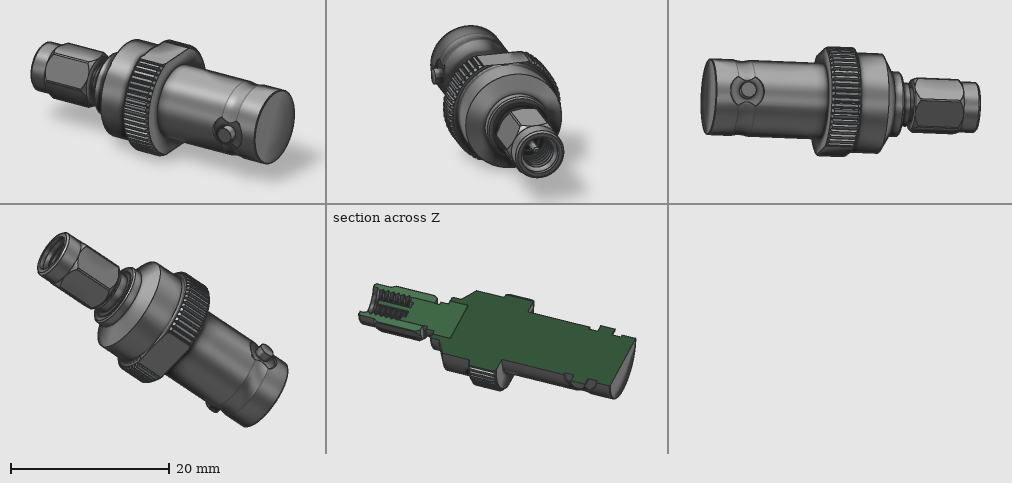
import cadquery as cq
import math

TOTAL_LENGTH = 34.54

NUT_LENGTH = 8.4
NUT_FLATS = 6.35
HEX_CORNER_RADIUS = 3.6
COLLAR_RADIUS = NUT_FLATS / 2
COLLAR_LENGTH = 2.15
HEX_CHAMFER_LENGTH = 0.55
NOSE_CHAMFER = 0.25

THREAD_CREST_RADIUS = 2.0
THREAD_ROOT_RADIUS = 2.4
THREAD_PITCH = 25.4 / 36
THREAD_FLAT = 0.04
THREAD_FLANK = THREAD_PITCH / 2 - THREAD_FLAT
THREAD_TURNS = 6
MOUTH_RADIUS = 2.45
MOUTH_DEPTH = 0.55
LEAD_IN = MOUTH_RADIUS - THREAD_CREST_RADIUS
THREAD_START = MOUTH_DEPTH + LEAD_IN + THREAD_FLAT
THREAD_DEPTH = THREAD_START + THREAD_TURNS * THREAD_PITCH

NECK_RADIUS = 2.23
SHOULDER_RADIUS = 2.73
SHOULDER_START = 9.0
SEAT_RADIUS = 3.36
SEAT_CHAMFER = 0.1
CONTACT_RECESS_RADIUS = 1.4
CONTACT_RECESS_DEPTH = 0.5
PIN_RADIUS = 0.41
PIN_TIP = 1.5
PIN_TIP_CHAMFER = 0.2

FLANGE_RADIUS = 4.1
FLANGE_START = 10.03
FLANGE_CHAMFER = 0.2
CONE_START = 11.25
CONE_ANGLE = 60
BARREL_RADIUS = 6.3
CONE_END = CONE_START + (BARREL_RADIUS - FLANGE_RADIUS) / math.tan(math.radians(CONE_ANGLE))
SEAT_END = CONE_END

KNURL_START = 16.25
KNURL_END = 20.0
KNURL_DIAMETER = 14.5
KNURL_RADIUS = KNURL_DIAMETER / 2
KNURL_FLATS = 12.7
KNURL_CHAMFER = 0.34
KNURL_TEETH = 61
TOOTH_DEPTH = 0.36
TOOTH_TIP_WIDTH = 0.36
GROOVE_ROOT_WIDTH = 0.1
ROOT_FILLET = 0.25

TUBE_RADIUS = 4.8
TUBE_END_CHAMFER = 0.1
LUG_X = 30.48
LUG_RADIUS = 0.98
LUG_SPAN = 11.1
SPOT_RADIUS = 2.17
SPOT_SPAN = 8.84
WAIST_WIDTH = 2.14
WAIST_DEPTH = 0.17


def revolve_about_x(profile):
    """Close a profile drawn in (x, radius) and turn it about the X axis."""
    return profile.close().revolve(360, (0, 0, 0), (1, 0, 0))


def cylinder_x(start, end, radius):
    return cq.Workplane("YZ", origin=(start, 0, 0)).circle(radius).extrude(end - start)


def make_thread_groove(index):
    """One V-shaped ring of the thread, cut outwards from the crest radius."""
    start = THREAD_START + index * THREAD_PITCH
    return revolve_about_x(
        cq.Workplane("XY")
        .moveTo(start, 0)
        .lineTo(start, THREAD_CREST_RADIUS)
        .lineTo(start + THREAD_FLANK, THREAD_ROOT_RADIUS)
        .lineTo(start + THREAD_FLANK + THREAD_FLAT, THREAD_ROOT_RADIUS)
        .lineTo(start + 2 * THREAD_FLANK + THREAD_FLAT, THREAD_CREST_RADIUS)
        .lineTo(start + 2 * THREAD_FLANK + THREAD_FLAT, 0)
    )


def make_nut():
    """Round collar running into a hexagon with chamfered corners, threaded inside."""
    envelope = revolve_about_x(
        cq.Workplane("XY")
        .moveTo(0, 0)
        .lineTo(0, COLLAR_RADIUS - NOSE_CHAMFER)
        .lineTo(NOSE_CHAMFER, COLLAR_RADIUS)
        .lineTo(COLLAR_LENGTH, COLLAR_RADIUS)
        .lineTo(COLLAR_LENGTH + HEX_CHAMFER_LENGTH, HEX_CORNER_RADIUS)
        .lineTo(NUT_LENGTH - HEX_CHAMFER_LENGTH, HEX_CORNER_RADIUS)
        .lineTo(NUT_LENGTH, COLLAR_RADIUS)
        .lineTo(NUT_LENGTH, 0)
    )
    hexagon = (
        cq.Workplane("YZ")
        .polygon(6, NUT_FLATS, circumscribed=True)
        .extrude(NUT_LENGTH)
        .rotate((0, 0, 0), (1, 0, 0), 30)
    )
    nut = envelope.intersect(hexagon.union(cylinder_x(0, COLLAR_LENGTH, COLLAR_RADIUS)))

    bore = revolve_about_x(
        cq.Workplane("XY")
        .moveTo(0, 0)
        .lineTo(0, MOUTH_RADIUS)
        .lineTo(MOUTH_DEPTH, MOUTH_RADIUS)
        .lineTo(MOUTH_DEPTH + LEAD_IN, THREAD_CREST_RADIUS)
        .lineTo(THREAD_DEPTH, THREAD_CREST_RADIUS)
        .lineTo(THREAD_DEPTH, NECK_RADIUS)
        .lineTo(NUT_LENGTH, NECK_RADIUS)
        .lineTo(NUT_LENGTH, 0)
    )
    nut = nut.cut(bore)
    for index in range(THREAD_TURNS):
        nut = nut.cut(make_thread_groove(index))
    return nut


def make_insert():
    """Neck, shoulder and seat, with the centre pin standing in a recess of the front face."""
    body = revolve_about_x(
        cq.Workplane("XY")
        .moveTo(THREAD_DEPTH, 0)
        .lineTo(THREAD_DEPTH, NECK_RADIUS)
        .lineTo(SHOULDER_START, NECK_RADIUS)
        .lineTo(SHOULDER_START, SHOULDER_RADIUS)
        .lineTo(FLANGE_START, SHOULDER_RADIUS)
        .lineTo(FLANGE_START, SEAT_RADIUS - SEAT_CHAMFER)
        .lineTo(FLANGE_START + SEAT_CHAMFER, SEAT_RADIUS)
        .lineTo(SEAT_END, SEAT_RADIUS)
        .lineTo(SEAT_END, 0)
    )
    recess_floor = THREAD_DEPTH + CONTACT_RECESS_DEPTH
    recess = cylinder_x(THREAD_DEPTH, recess_floor, CONTACT_RECESS_RADIUS)
    pin = cylinder_x(PIN_TIP, SEAT_END, PIN_RADIUS).faces("<X").chamfer(PIN_TIP_CHAMFER)
    return body.cut(recess).union(pin)


def make_front_half():
    """Flange, cone and barrel, flared by a fillet into the knurled ring."""
    fillet_bend = ROOT_FILLET * (1 - math.sqrt(0.5))
    return revolve_about_x(
        cq.Workplane("XY")
        .moveTo(FLANGE_START, 0)
        .lineTo(FLANGE_START, FLANGE_RADIUS - FLANGE_CHAMFER)
        .lineTo(FLANGE_START + FLANGE_CHAMFER, FLANGE_RADIUS)
        .lineTo(CONE_START, FLANGE_RADIUS)
        .lineTo(CONE_END, BARREL_RADIUS)
        .lineTo(KNURL_START - ROOT_FILLET, BARREL_RADIUS)
        .threePointArc(
            (KNURL_START - fillet_bend, BARREL_RADIUS + fillet_bend),
            (KNURL_START, BARREL_RADIUS + ROOT_FILLET),
        )
        .lineTo(KNURL_START, 0)
    ).intersect(cq.Workplane("XY").box(2 * TOTAL_LENGTH, KNURL_DIAMETER, KNURL_FLATS))


def make_knurled_ring():
    """Chamfered ring with V-grooves around its rim and flats on top and bottom."""
    length = KNURL_END - KNURL_START
    ring = cylinder_x(KNURL_START, KNURL_END, KNURL_RADIUS).edges().chamfer(KNURL_CHAMFER)

    tooth_pitch = 2 * math.pi * KNURL_RADIUS / KNURL_TEETH
    root_radius = KNURL_RADIUS - TOOTH_DEPTH
    clear_radius = KNURL_RADIUS + TOOTH_DEPTH
    tip_half_gap = (tooth_pitch - TOOTH_TIP_WIDTH) / 2
    clear_half_gap = 2 * tip_half_gap - GROOVE_ROOT_WIDTH / 2
    groove = (
        cq.Workplane("YZ", origin=(KNURL_START, 0, 0))
        .moveTo(root_radius, -GROOVE_ROOT_WIDTH / 2)
        .lineTo(clear_radius, -clear_half_gap)
        .lineTo(clear_radius, clear_half_gap)
        .lineTo(root_radius, GROOVE_ROOT_WIDTH / 2)
        .close()
        .extrude(length)
    )
    grooves = [
        groove.rotate((0, 0, 0), (1, 0, 0), index * 360 / KNURL_TEETH).val()
        for index in range(KNURL_TEETH)
    ]
    ring = ring.cut(cq.Workplane("XY").newObject([cq.Compound.makeCompound(grooves)]))

    flats = cq.Workplane("XY").box(2 * TOTAL_LENGTH, 2 * KNURL_DIAMETER, KNURL_FLATS)
    return ring.intersect(flats)


def make_bayonet_tube():
    """Tube with a shallow waist and two lugs, each standing on a round spot face."""
    waist_start = LUG_X - WAIST_WIDTH / 2
    waist_end = LUG_X + WAIST_WIDTH / 2
    tube = revolve_about_x(
        cq.Workplane("XY")
        .moveTo(KNURL_END, 0)
        .lineTo(KNURL_END, TUBE_RADIUS)
        .lineTo(waist_start, TUBE_RADIUS)
        .threePointArc((LUG_X, TUBE_RADIUS - WAIST_DEPTH), (waist_end, TUBE_RADIUS))
        .lineTo(TOTAL_LENGTH - TUBE_END_CHAMFER, TUBE_RADIUS)
        .lineTo(TOTAL_LENGTH, TUBE_RADIUS - TUBE_END_CHAMFER)
        .lineTo(TOTAL_LENGTH, 0)
    )
    lug_plane = cq.Workplane("XZ", origin=(LUG_X, 0, 0))
    spot_faces = (
        lug_plane.circle(SPOT_RADIUS).extrude(TUBE_RADIUS, both=True)
        .cut(lug_plane.circle(SPOT_RADIUS).extrude(SPOT_SPAN / 2, both=True))
    )
    lugs = lug_plane.circle(LUG_RADIUS).extrude(LUG_SPAN / 2, both=True)
    return tube.cut(spot_faces).union(lugs)


def make_housing():
    housing = make_front_half().union(make_knurled_ring()).union(make_bayonet_tube())
    return housing.cut(cylinder_x(FLANGE_START, SEAT_END, SEAT_RADIUS))


nut = make_nut()
insert = make_insert()
housing = make_housing()

result = cq.Compound.makeCompound([nut.val(), insert.val(), housing.val()])